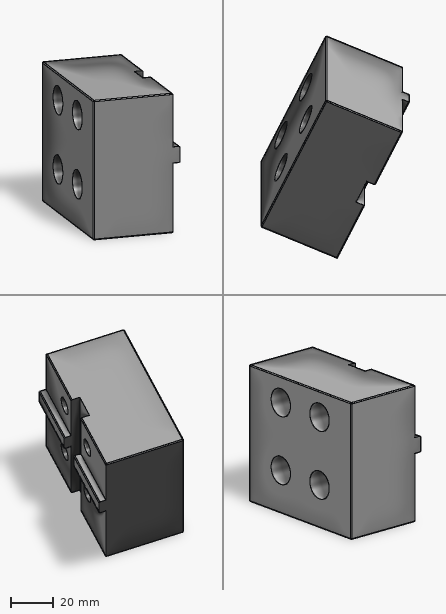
import cadquery as cq

width = 74.0
height = 68.5
block_depth = 39.95
edge_chamfer = 0.5

key_height = 8.0
key_projection = 3.55
key_back = block_depth + key_projection

slot_width = 12.0
slot_depth = 8.0

hole_diameter = 8.5
counterbore_diameter = 14.0
counterbore_depth = block_depth / 2
hole_pitch_x = 28.0
hole_pitch_z = 34.0
top_hole_margin = 13.0
hole_center_z = height / 2 - top_hole_margin - hole_pitch_z / 2


def make_block():
    """Block with every edge chamfered except the upright ones at the back."""
    block = cq.Workplane("XY").box(width, block_depth, height).translate((0, block_depth / 2, 0))
    return block.edges("|X or |Y or (|Z and <Y)").chamfer(edge_chamfer)


def make_key():
    """Full-width key with its two long outer edges chamfered."""
    key = cq.Workplane("XY").box(width, key_projection, key_height)
    key = key.edges("|X and >Y").chamfer(edge_chamfer)
    return key.translate((0, block_depth + key_projection / 2, key_height / 2))


def make_slot():
    slot = cq.Workplane("XY").box(slot_width, slot_depth, height)
    return slot.translate((0, key_back - slot_depth / 2, 0))


def drill_holes(body):
    return (
        body.faces("<Y")
        .workplane(origin=(0, 0, hole_center_z))
        .rarray(hole_pitch_x, hole_pitch_z, 2, 2)
        .cboreHole(hole_diameter, counterbore_diameter, counterbore_depth)
    )


result = drill_holes(make_block().union(make_key()).cut(make_slot()))